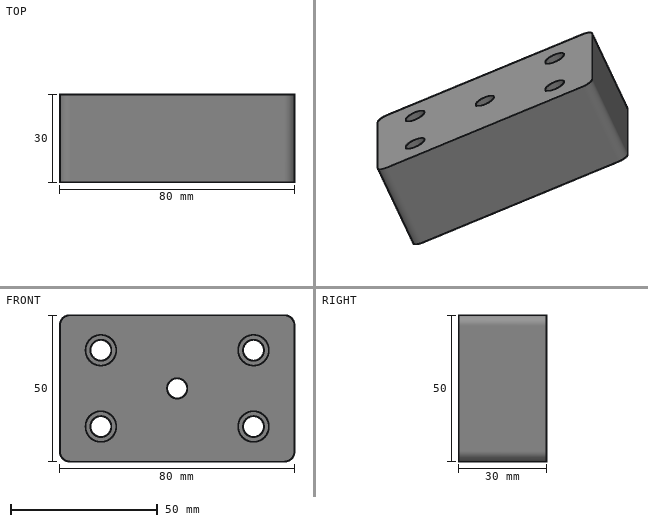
import cadquery as cq

length = 80.0
depth = 30.0
height = 50.0
corner_radius = 3.5

hole_spacing_x = 52.0
hole_spacing_z = 26.0
hole_diameter = 7.0
counterbore_diameter = 10.5
counterbore_depth = 20.0

center_hole_diameter = 6.8


def make_block():
    """Rectangular block, centred on the origin, with rounded edges along Y."""
    return cq.Workplane("XY").box(length, depth, height).edges("|Y").fillet(corner_radius)


def front_plane(block):
    """Workplane on the -Y face, centred on it."""
    return block.faces("<Y").workplane(centerOption="CenterOfBoundBox")


def cut_mounting_holes(block):
    """Through holes on a rectangular pattern, counterbored from the -Y face."""
    return (
        front_plane(block)
        .rarray(hole_spacing_x, hole_spacing_z, 2, 2)
        .cboreHole(hole_diameter, counterbore_diameter, counterbore_depth)
    )


def cut_center_hole(block):
    """Plain through hole in the middle of the block."""
    return front_plane(block).hole(center_hole_diameter)


block = make_block()
drilled_block = cut_mounting_holes(block)
result = cut_center_hole(drilled_block)